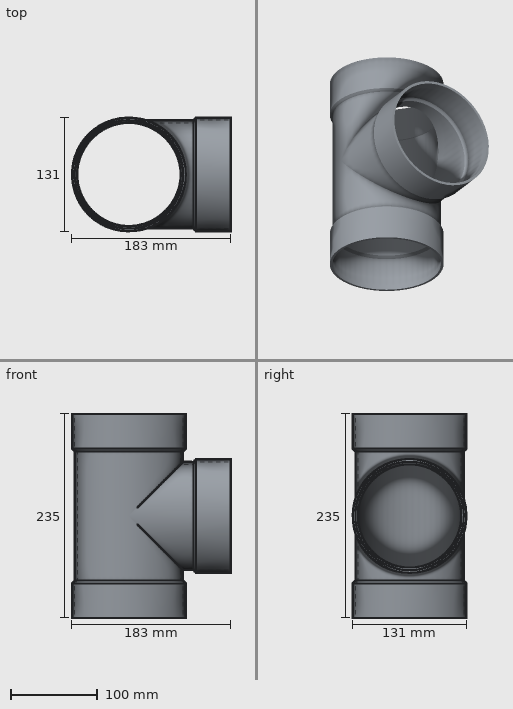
import cadquery as cq


bore_diameter = 119.0
wall = 3.0
end_distance = 117.5
socket_length = 40.0
taper_length = 3.0

bore_radius = bore_diameter / 2
pipe_radius = bore_radius + wall
socket_bore_radius = pipe_radius
socket_radius = socket_bore_radius + wall
socket_start = end_distance - socket_length
taper_start = socket_start - taper_length


def revolve_about_z(profile):
    """Revolve a closed (radius, height) profile into a solid about Z."""
    return cq.Workplane("XZ").polyline(profile).close().revolve(360, (0, 0, 0), (0, 1, 0))


def run(narrow_radius, wide_radius):
    """Straight run along Z, narrow in the middle and widened at both ends."""
    return revolve_about_z([
        (0, -end_distance),
        (wide_radius, -end_distance),
        (wide_radius, -socket_start),
        (narrow_radius, -taper_start),
        (narrow_radius, taper_start),
        (wide_radius, socket_start),
        (wide_radius, end_distance),
        (0, end_distance),
    ])


def branch(narrow_radius, wide_radius):
    """Single arm from the tee centre toward +X, widened at its open end."""
    upright_arm = revolve_about_z([
        (0, 0),
        (narrow_radius, 0),
        (narrow_radius, taper_start),
        (wide_radius, socket_start),
        (wide_radius, end_distance),
        (0, end_distance),
    ])
    return upright_arm.rotate((0, 0, 0), (0, 1, 0), 90)


def tee(narrow_radius, wide_radius):
    """Solid tee made of the run and its branch."""
    return run(narrow_radius, wide_radius).union(branch(narrow_radius, wide_radius))


body = tee(pipe_radius, socket_radius)
cavity = tee(bore_radius, socket_bore_radius)

result = body.cut(cavity)